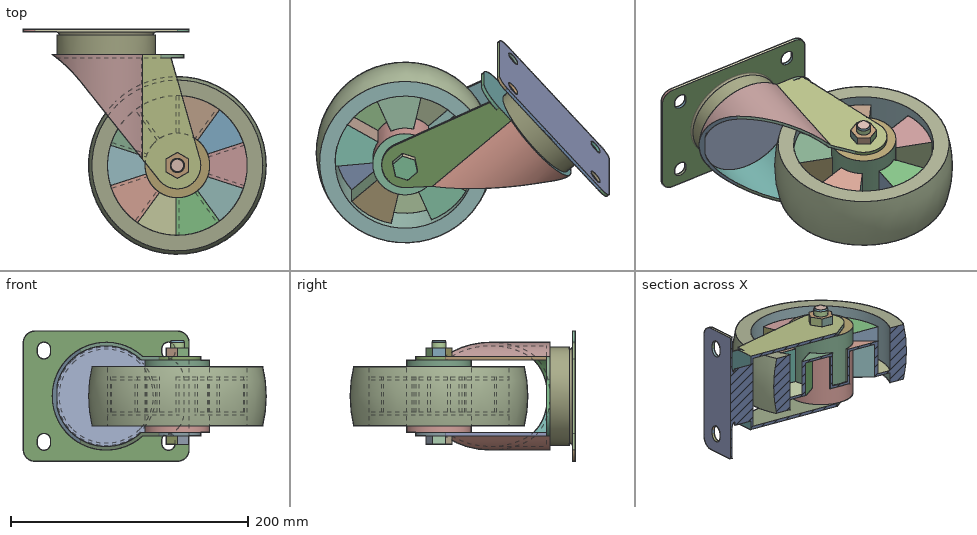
import cadquery as cq
import math


plate_length = 140.0
plate_width = 110.0
plate_thickness = 2.5
plate_corner_radius = 10.0
slot_spacing_x = 105.0
slot_spacing_z = 77.0
slot_width = 11.0
slot_length = 14.0

neck_diameter = 83.2
waist_diameter = 79.4
waist_fillet_radius = 2.5

fork_top = -21.4
sheet = 3.0
crown_radius = 45.5
arm_outer_z = 33.5
arm_inner_z = arm_outer_z - sheet
arm_end_radius = 19.75
arm_rear_top_x = 54.8
arm_bend_x = -21.7
arm_bend_y = -44.3
crown_rear_x = 65.5
crown_corner_radius = 19.5
crown_rear_start = crown_rear_x - crown_corner_radius

axle_x = 60.0
axle_y = -115.0
wheel_radius = 75.0
wheel_edge_radius = 72.0
wheel_width = 50.0
rim_inner_diameter = 117.8
hub_diameter = 54.5
hub_length = 2 * arm_inner_z
web_width = 32.0
web_thickness = 2.5
pocket_pairs = 5
first_pocket_angle = 36.0

bolt_diameter = 12.0
bolt_tip_z = 46.8
bolt_chamfer_length = 1.5
bolt_chamfer_depth = 0.7
hex_across_flats = 19.0
hex_height = 7.2


def disc(diameter, length, z_start):
    """Round solid on the wheel axis."""
    return (
        cq.Workplane("XY", origin=(axle_x, axle_y, z_start))
        .circle(diameter / 2)
        .extrude(length)
    )


def make_plate():
    """Rounded rectangular plate with four slotted holes."""
    plate = (
        cq.Workplane("XZ")
        .rect(plate_length, plate_width)
        .extrude(plate_thickness)
        .edges("|Y")
        .fillet(plate_corner_radius)
    )
    slots = (
        cq.Workplane("XZ")
        .rect(slot_spacing_x, slot_spacing_z, forConstruction=True)
        .vertices()
        .slot2D(slot_length, slot_width, 90)
        .extrude(plate_thickness)
    )
    return plate.cut(slots)


def make_neck():
    """Cylindrical swivel neck with a narrower waist that flares into the plate."""
    radius = neck_diameter / 2
    waist_radius = waist_diameter / 2
    waist_end = -plate_thickness - waist_fillet_radius
    flare_inset = waist_fillet_radius * (1 - math.sqrt(0.5))
    return (
        cq.Workplane("XY")
        .moveTo(0, -plate_thickness)
        .lineTo(waist_radius + waist_fillet_radius, -plate_thickness)
        .threePointArc(
            (waist_radius + flare_inset, -plate_thickness - flare_inset),
            (waist_radius, waist_end),
        )
        .lineTo(radius, waist_end)
        .lineTo(radius, fork_top)
        .lineTo(0, fork_top)
        .close()
        .revolve(360, (0, 0, 0), (0, 1, 0))
    )


def horseshoe(radius, half_width, rear_x, y_start, height):
    """Upright prism: a round front merged with a straight-sided rear."""
    side_x = math.sqrt(radius**2 - half_width**2)
    return (
        cq.Workplane("XZ", origin=(0, y_start, 0))
        .moveTo(rear_x, half_width)
        .lineTo(side_x, half_width)
        .threePointArc((-radius, 0), (side_x, -half_width))
        .lineTo(rear_x, -half_width)
        .close()
        .extrude(height)
    )


def tangent_point(x, y, side):
    """Point where a line from (x, y) touches the rounded arm end; side is +1 or -1."""
    distance = math.hypot(x - axle_x, y - axle_y)
    direction = math.atan2(y - axle_y, x - axle_x)
    angle = direction + side * math.acos(arm_end_radius / distance)
    return (axle_x + arm_end_radius * math.cos(angle), axle_y + arm_end_radius * math.sin(angle))


def make_arm_profile():
    """Side outline of the fork, extruded through its full width."""
    crown_bottom = fork_top - sheet
    rear_tangent = tangent_point(arm_rear_top_x, crown_bottom, -1)
    front_tangent = tangent_point(arm_bend_x, arm_bend_y, 1)
    return (
        cq.Workplane("XY")
        .moveTo(-crown_radius, fork_top)
        .lineTo(crown_rear_start, fork_top)
        .lineTo(crown_rear_start, crown_bottom)
        .lineTo(arm_rear_top_x, crown_bottom)
        .lineTo(*rear_tangent)
        .threePointArc((axle_x, axle_y - arm_end_radius), front_tangent)
        .lineTo(arm_bend_x, arm_bend_y)
        .tangentArcPoint((-crown_radius, fork_top), relative=False)
        .close()
        .extrude(crown_radius, both=True)
    )


def make_fork():
    """Bent sheet fork: horseshoe skirt running into two arms, closed by a crown plate."""
    height = fork_top - axle_y + arm_end_radius
    arm_reach = axle_x + arm_end_radius
    body = horseshoe(crown_radius, arm_outer_z, arm_reach, fork_top, height)
    cavity = horseshoe(crown_radius - sheet, arm_inner_z, arm_reach, fork_top - sheet, height)
    body = body.intersect(make_arm_profile())
    crown_rear = (
        cq.Workplane("XZ", origin=(crown_rear_x / 2, fork_top, 0))
        .rect(crown_rear_x, 2 * arm_outer_z)
        .extrude(sheet)
        .edges("|Y and >X")
        .fillet(crown_corner_radius)
    )
    return body.union(crown_rear).cut(cavity)


def make_tyre():
    """Crowned tread ring."""
    half_width = wheel_width / 2
    inner_radius = rim_inner_diameter / 2
    return (
        cq.Workplane("XZ")
        .moveTo(inner_radius, -half_width)
        .lineTo(wheel_edge_radius, -half_width)
        .threePointArc((wheel_radius, 0), (wheel_edge_radius, half_width))
        .lineTo(inner_radius, half_width)
        .close()
        .revolve(360, (0, 0, 0), (0, 1, 0))
        .translate((axle_x, axle_y, 0))
    )


def make_pocket(angle, z_start):
    """Sector pocket between hub and rim; its sides sit half a wall off the radial lines."""
    half_angle = math.pi / (2 * pocket_pairs)
    apex = web_thickness / 2 / math.sin(half_angle)
    reach = rim_inner_diameter
    half_spread = (reach - apex) * math.tan(half_angle)
    wedge = (
        cq.Workplane("XY", origin=(0, 0, z_start))
        .moveTo(apex, 0)
        .lineTo(reach, -half_spread)
        .lineTo(reach, half_spread)
        .close()
        .extrude(web_width - web_thickness)
        .rotate((0, 0, 0), (0, 0, 1), angle)
        .translate((axle_x, axle_y, 0))
    )
    ring = disc(rim_inner_diameter, web_width, -web_width / 2).cut(
        disc(hub_diameter, web_width, -web_width / 2)
    )
    return wedge.intersect(ring)


def make_wheel():
    """Tyre, hub and a zigzag web whose pockets open alternately to either side."""
    web = disc(rim_inner_diameter, web_width, -web_width / 2)
    pitch = 360 / pocket_pairs
    top_pocket_floor = -web_width / 2 + web_thickness
    for index in range(pocket_pairs):
        angle = first_pocket_angle + index * pitch
        web = web.cut(make_pocket(angle, top_pocket_floor))
        web = web.cut(make_pocket(angle + pitch / 2, -web_width / 2))
    hub = disc(hub_diameter, hub_length, -hub_length / 2)
    return make_tyre().union(web).union(hub)


def make_hexagon(z_start):
    """Hexagon with corners pointing along Y."""
    across_corners = hex_across_flats / math.cos(math.pi / 6)
    return (
        cq.Workplane("XY", origin=(axle_x, axle_y, z_start))
        .transformed(rotate=(0, 0, 90))
        .polygon(6, across_corners)
        .extrude(hex_height)
    )


def make_bolt():
    """Axle bolt with a hexagon head below and a nut above."""
    shank = disc(bolt_diameter, bolt_tip_z + arm_outer_z, -arm_outer_z)
    shank = shank.faces(">Z").chamfer(bolt_chamfer_length, bolt_chamfer_depth)
    head = make_hexagon(-arm_outer_z - hex_height)
    nut = make_hexagon(arm_outer_z)
    return shank.union(head).union(nut)


result = make_plate().union(make_neck()).union(make_fork()).union(make_wheel()).union(make_bolt())